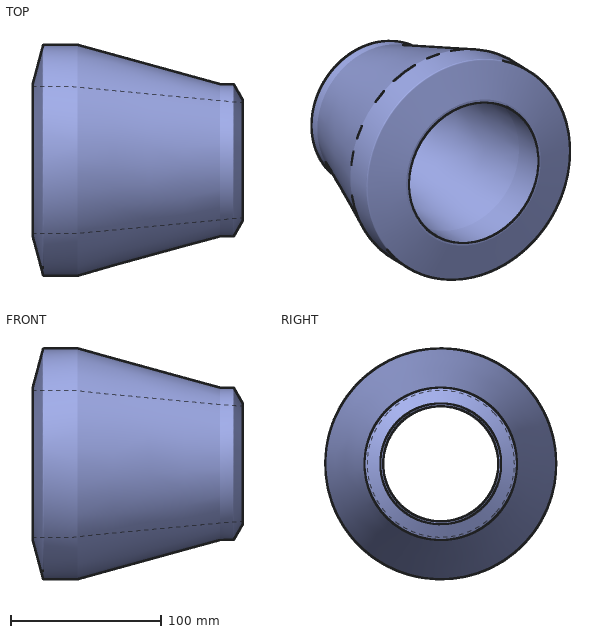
import cadquery as cq
import math

length = 140.0
collar_diameter = 154.0
neck_diameter = 101.6

bore_diameter = 98.0
outlet_diameter = 76.6
bore_depth = 27.0

collar_end = 30.0
neck_start = 125.0
front_slope = 15.0
bevel_slope = 30.0
root_face = 2.0
edge_radius = 1.0

full_turn = 360
axis_start = (0, 0, 0)
axis_end = (1, 0, 0)

collar_radius = collar_diameter / 2
neck_radius = neck_diameter / 2
bore_radius = bore_diameter / 2
outlet_radius = outlet_diameter / 2
front_face_radius = bore_radius + root_face
end_face_radius = outlet_radius + root_face
front_cone_length = (collar_radius - front_face_radius) * math.tan(math.radians(front_slope))
bevel_length = (neck_radius - end_face_radius) * math.tan(math.radians(bevel_slope))
bevel_start = length - bevel_length


def make_outer_body():
    """Solid body of revolution about X, with its convex edges rounded."""
    profile = (
        cq.Workplane("XY")
        .moveTo(0, 0)
        .lineTo(0, front_face_radius)
        .lineTo(front_cone_length, collar_radius)
        .lineTo(collar_end, collar_radius)
        .lineTo(neck_start, neck_radius)
        .lineTo(bevel_start, neck_radius)
        .lineTo(length, end_face_radius)
        .lineTo(length, 0)
        .close()
    )
    body = profile.revolve(full_turn, axis_start, axis_end)
    for rim_position in (front_cone_length, collar_end, bevel_start):
        nearest_rim = cq.selectors.NearestToPointSelector((rim_position, 0, 0))
        body = body.edges("%CIRCLE").edges(nearest_rim).fillet(edge_radius)
    return body


def make_bore():
    """Straight bore from the front, narrowing as a cone to the outlet."""
    profile = (
        cq.Workplane("XY")
        .moveTo(0, 0)
        .lineTo(0, bore_radius)
        .lineTo(bore_depth, bore_radius)
        .lineTo(length, outlet_radius)
        .lineTo(length, 0)
        .close()
    )
    return profile.revolve(full_turn, axis_start, axis_end)


result = make_outer_body().cut(make_bore())